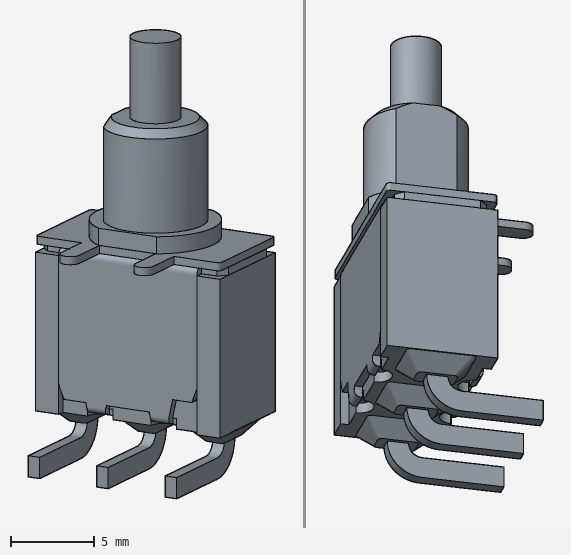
import cadquery as cq
import math


case_width = 12.7
case_depth = 6.9
column_height = 9.93
column_width = 1.6
sheet = 0.5

clip_width = case_width - 2 * column_width
clip_bend = sheet
wing_depth = 5.75
wing_corner = 0.5

plate_bottom = column_height + sheet
plate_top = plate_bottom + sheet
plate_corner = 0.27
tab_width = 1.25
tab_offset = 2.55
front_y = -6.6

flange_radius = 4.0
flange_depth = 6.92
flange_height = 1.07
bushing_diameter = 6.35
bushing_height = 6.4
bushing_chamfer = 0.5
bushing_flat = 2.53

button_diameter = 3.1
button_height = 5.03

lip_offset = 2.18
lip_width = 1.28
lip_top = 0.72
lip_curl = 0.4
lip_slant = 0.08
skirt_height = 0.99
high_skirt_height = 1.97
high_skirt_slant = 0.27
corner_run = 0.35
corner_rise = 0.88
notch_width = 1.75
notch_height = 0.67

terminal_pitch = 4.71
terminal_width = 0.8
terminal_thickness = 1.33
bend_inner_radius = 0.85
mound_height = 1.0
mound_width = 3.12
mound_depth = 4.35
mound_taper = 42.0
mound_corner = 0.35


def box(width, depth, bottom, top):
    """Block centred on the Z axis."""
    return cq.Workplane("XY").workplane(offset=bottom).rect(width, depth).extrude(top - bottom)


def make_case():
    """Case with front and back walls recessed for the clip."""
    case = box(case_width, case_depth, 0, column_height)
    recess_y = case_depth / 2 - sheet / 2
    recess = box(clip_width, sheet, 0, column_height)
    for side in (-1, 1):
        case = case.cut(recess.translate((0, side * recess_y, 0)))
    return case


def cut_lip_notches(case):
    """Round notches in the lower edge of the recessed walls, one behind each crimp lip."""
    wall_y = case_depth / 2 - sheet
    centers = [(x, y) for x in (-lip_offset, lip_offset) for y in (-wall_y, wall_y)]
    notches = cq.Workplane("XY").pushPoints(centers).circle(notch_width / 2).extrude(notch_height)
    return case.cut(notches)


def make_clip_wall():
    """Front wall of the clip, with the stepped lower edge."""
    half = clip_width / 2
    lip_inner = lip_offset - lip_width / 2
    lip_outer = lip_offset + lip_width / 2
    outline = [
        (-half, plate_bottom),
        (-half, skirt_height + corner_rise),
        (-half + corner_run, skirt_height),
        (-lip_outer - lip_slant, skirt_height),
        (-lip_outer, lip_top),
        (-lip_inner, lip_top),
        (-lip_inner + lip_slant, skirt_height),
        (lip_inner - lip_slant, skirt_height),
        (lip_inner, lip_top),
        (lip_outer, lip_top),
        (lip_outer + high_skirt_slant, high_skirt_height),
        (half - corner_run, high_skirt_height),
        (half, high_skirt_height + corner_rise),
        (half, plate_bottom),
    ]
    front = cq.Workplane("XZ", origin=(0, -case_depth / 2, 0))
    return front.polyline(outline).close().extrude(-sheet)


def make_lips():
    """Lower ends of the clip wall, curling inward into the notches."""
    outer_y = -case_depth / 2
    inner_y = outer_y + sheet
    curl_y = outer_y + lip_curl
    mid = lip_curl * math.sqrt(0.5)
    profile = (
        cq.Workplane("YZ")
        .moveTo(inner_y, lip_top)
        .lineTo(outer_y, lip_top)
        .threePointArc((curl_y - mid, lip_top - mid), (curl_y, lip_top - lip_curl))
        .lineTo(inner_y, lip_top - lip_curl)
        .close()
    )
    lip = profile.extrude(lip_width / 2, both=True)
    return lip.translate((-lip_offset, 0, 0)).union(lip.translate((lip_offset, 0, 0)))


def make_clip():
    """Sheet clip folded down the front and the back alike, with an opening for the button shaft."""
    bridge = box(clip_width, case_depth, column_height, plate_bottom)
    wall = make_clip_wall().union(make_lips())
    folded = bridge.union(wall).union(wall.mirror("XZ"))
    folded = folded.edges("|X and >Z").fillet(clip_bend)
    wings = box(case_width, wing_depth, column_height, plate_bottom).edges("|Z").chamfer(wing_corner)
    return folded.union(wings).cut(make_shaft())


def make_plate():
    """Mounting plate with two round-ended solder tabs."""
    plate = box(case_width, case_depth, plate_bottom, plate_top).edges("|Z").fillet(plate_corner)
    for x in (-tab_offset, tab_offset):
        tab = (
            cq.Workplane("XY", origin=(x, 0, plate_bottom))
            .moveTo(-tab_width / 2, 0)
            .lineTo(-tab_width / 2, front_y + tab_width / 2)
            .threePointArc((0, front_y), (tab_width / 2, front_y + tab_width / 2))
            .lineTo(tab_width / 2, 0)
            .close()
            .extrude(sheet)
        )
        plate = plate.union(tab)
    return plate


def make_bushing():
    """Flange with flats at front and back, and the bushing with its flat at -X."""
    flange_top = plate_top + flange_height
    flange = cq.Workplane("XY").workplane(offset=plate_top).circle(flange_radius).extrude(flange_height)
    flange = flange.intersect(box(2 * flange_radius, flange_depth, plate_top, flange_top))
    barrel = (
        cq.Workplane("XY")
        .workplane(offset=flange_top)
        .circle(bushing_diameter / 2)
        .extrude(bushing_height)
        .faces(">Z")
        .chamfer(bushing_chamfer)
    )
    beyond_flat = box(bushing_diameter, bushing_diameter, flange_top, flange_top + bushing_height)
    barrel = barrel.cut(beyond_flat.translate((-bushing_flat - bushing_diameter / 2, 0, 0)))
    return flange.union(barrel)


def make_terminal():
    """Sealing mound and the terminal that bends out of it toward the front."""
    run = mound_height * math.tan(math.radians(mound_taper))
    mound = (
        cq.Workplane("XY")
        .rect(mound_width, mound_depth)
        .workplane(offset=-mound_height)
        .rect(mound_width - 2 * run, mound_depth - 2 * run)
        .loft()
    )
    mound = mound.edges("not #Z").fillet(mound_corner)

    half = terminal_thickness / 2
    bend_outer_radius = bend_inner_radius + terminal_thickness
    bend_y = -half - bend_inner_radius
    bend_z = -mound_height
    inner_mid = bend_inner_radius * math.sqrt(0.5)
    outer_mid = bend_outer_radius * math.sqrt(0.5)
    pin = (
        cq.Workplane("YZ")
        .moveTo(half, 0)
        .lineTo(half, bend_z)
        .threePointArc((bend_y + outer_mid, bend_z - outer_mid), (bend_y, bend_z - bend_outer_radius))
        .lineTo(front_y, bend_z - bend_outer_radius)
        .lineTo(front_y, bend_z - bend_inner_radius)
        .lineTo(bend_y, bend_z - bend_inner_radius)
        .threePointArc((bend_y + inner_mid, bend_z - inner_mid), (-half, bend_z))
        .lineTo(-half, 0)
        .close()
        .extrude(terminal_width / 2, both=True)
    )
    return mound.union(pin)


def make_shaft():
    """Round shaft that joins the case to the plate through the clip."""
    return cq.Workplane("XY").workplane(offset=column_height).circle(button_diameter / 2).extrude(sheet)


def make_button():
    """Round button standing on the top face of the bushing."""
    bushing_top = plate_top + flange_height + bushing_height
    button = cq.Workplane("XY").workplane(offset=bushing_top).circle(button_diameter / 2)
    return button.extrude(button_height)


def make_switch():
    """Case, shaft, plate, bushing, button and terminals as one body."""
    switch = cut_lip_notches(make_case())
    for portion in (make_shaft(), make_plate(), make_bushing(), make_button()):
        switch = switch.union(portion)
    terminal = make_terminal()
    for x in (-terminal_pitch, 0, terminal_pitch):
        switch = switch.union(terminal.translate((x, 0, 0)))
    return switch


switch = make_switch()
clip = make_clip()
result = cq.Compound.makeCompound([switch.val(), clip.val()])